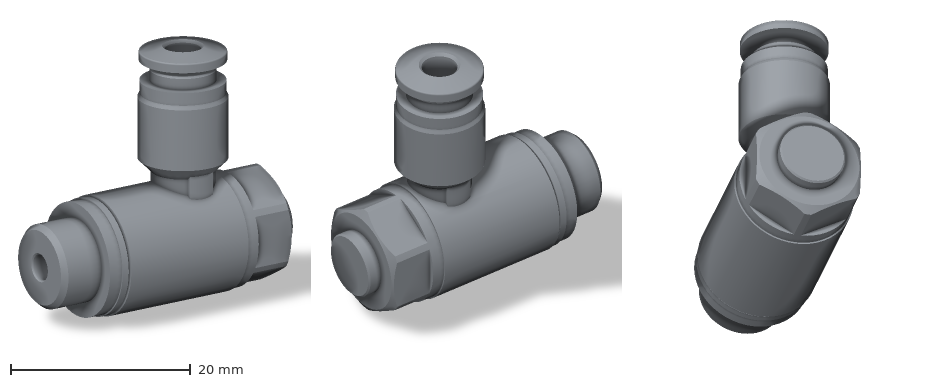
import cadquery as cq
import math


thread_dia = 9.7
thread_tip_dia = 8.58
seal_dia = 13.15
flange_dia = 13.5
groove_front_dia = 12.62
groove_rear_dia = 12.1
body_dia = 13.8
nut_dia = 13.4
nut_tip_dia = 11.55
nut_across_flats = 12.0
knob_dia = 7.5

thread_chamfer_end = 0.63
seal_start = 5.05
flange_start = 6.63
groove_start = 7.45
body_start = 7.7
nut_collar_start = 23.4
hex_start = 24.9
nut_chamfer_start = 29.35
nut_end = 29.95
total_length = 31.55
knob_chamfer = 0.2

branch_y = 19.2
neck_dia = 7.25
barrel_dia = 10.2
ring_dia = 9.72
collar_dia = 7.5
stem_dia = 5.4
stem_flare = 0.3
button_dia = 9.9
button_rounding = 0.2
key_dia = 8.05
key_width = 3.1

cone_bottom = 7.98
barrel_bottom = 9.45
barrel_top = 16.6
ring_bottom = 17.07
ring_top = 18.55
collar_top = 20.05
collar_chamfer = 0.2
button_bottom = 20.92
button_edge = 22.02
total_height = 29.4
button_top = total_height - body_dia / 2

main_bore_dia = 3.0
main_bore_depth = 22.1
main_bore_chamfer = 0.15
tube_bore_dia = 4.0
tube_bore_bottom = 9.45
tube_bore_chamfer = 0.3
passage_dia = 2.0


def main_body():
    """Stepped body turned about the Y axis, from the thread to the knob."""
    profile = [
        (0, 0),
        (thread_tip_dia / 2, 0),
        (thread_dia / 2, thread_chamfer_end),
        (thread_dia / 2, seal_start),
        (seal_dia / 2, seal_start),
        (seal_dia / 2, flange_start),
        (flange_dia / 2, flange_start),
        (flange_dia / 2, groove_start),
        (groove_front_dia / 2, groove_start),
        (groove_rear_dia / 2, body_start),
        (body_dia / 2, body_start),
        (body_dia / 2, nut_collar_start),
        (nut_dia / 2, nut_collar_start),
        (nut_dia / 2, nut_chamfer_start),
        (nut_tip_dia / 2, nut_end),
        (knob_dia / 2, nut_end),
        (knob_dia / 2, total_length - knob_chamfer),
        (knob_dia / 2 - knob_chamfer, total_length),
        (0, total_length),
    ]
    return cq.Workplane("XY").polyline(profile).close().revolve(360, (0, 0, 0), (0, 1, 0))


def hex_flats():
    """Material outside the hexagon, with two of its flats facing -X and +X."""
    across_corners = nut_across_flats / math.cos(math.pi / 6)
    plane = cq.Workplane("XZ", origin=(0, hex_start, 0))
    return (
        plane.circle(body_dia)
        .extrude(hex_start - nut_end)
        .cut(plane.transformed(rotate=(0, 0, 90)).polygon(6, across_corners).extrude(hex_start - nut_end))
    )


def branch():
    """Push-in tube connector turned about the vertical branch axis."""
    flare_inset = stem_flare * (1 - math.sqrt(0.5))
    return (
        cq.Workplane("XZ", origin=(0, branch_y, 0))
        .moveTo(0, 0)
        .lineTo(neck_dia / 2, 0)
        .lineTo(neck_dia / 2, cone_bottom)
        .lineTo(barrel_dia / 2, barrel_bottom)
        .lineTo(barrel_dia / 2, barrel_top)
        .lineTo(ring_dia / 2, ring_bottom)
        .lineTo(ring_dia / 2, ring_top)
        .lineTo(collar_dia / 2, ring_top)
        .lineTo(collar_dia / 2, collar_top - collar_chamfer)
        .lineTo(collar_dia / 2 - collar_chamfer, collar_top)
        .lineTo(stem_dia / 2, collar_top)
        .lineTo(stem_dia / 2, button_bottom - stem_flare)
        .threePointArc(
            (stem_dia / 2 + flare_inset, button_bottom - flare_inset),
            (stem_dia / 2 + stem_flare, button_bottom),
        )
        .lineTo(button_dia / 2, button_bottom)
        .lineTo(button_dia / 2, button_edge - button_rounding)
        .radiusArc((button_dia / 2 - button_rounding, button_edge), -button_rounding)
        .lineTo(tube_bore_dia / 2 + tube_bore_chamfer, button_top)
        .lineTo(0, button_top)
        .close()
        .revolve(360, (0, 0, 0), (0, 1, 0))
    )


def neck_keys():
    """Two round-faced keys on the -X and +X sides of the branch neck."""
    base = cq.Workplane("XY", origin=(0, branch_y, 0))
    bar = base.rect(key_dia, key_width).extrude(barrel_bottom)
    return bar.intersect(base.circle(key_dia / 2).extrude(barrel_bottom))


def chamfered_bore(plane, diameter, depth, chamfer):
    """Blind bore with a 45 degree mouth, sunk against the plane's normal."""
    straight = plane.circle(diameter / 2).extrude(-depth)
    mouth = plane.circle(diameter / 2 + chamfer).extrude(-chamfer, taper=45)
    return straight.union(mouth)


def bores():
    """Main bore, tube socket and the narrow passage joining them."""
    main_bore = chamfered_bore(cq.Workplane("XZ"), main_bore_dia, main_bore_depth, main_bore_chamfer)
    socket = chamfered_bore(
        cq.Workplane("XY", origin=(0, branch_y, button_top)),
        tube_bore_dia,
        button_top - tube_bore_bottom,
        tube_bore_chamfer,
    )
    passage = (
        cq.Workplane("XY", origin=(0, branch_y, 0))
        .circle(passage_dia / 2)
        .extrude(tube_bore_bottom)
    )
    return main_bore.union(socket).union(passage)


result = main_body().cut(hex_flats()).union(branch()).union(neck_keys()).cut(bores())